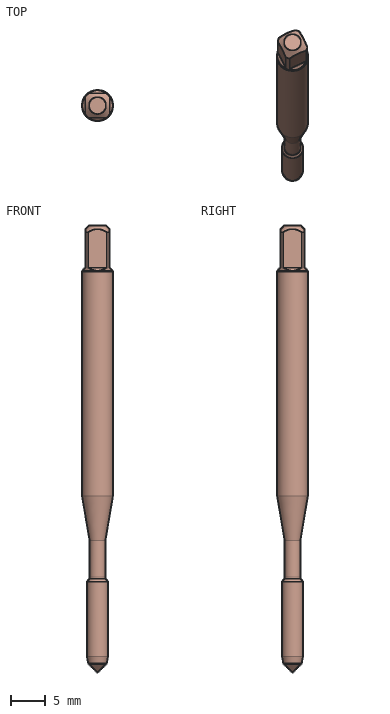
import cadquery as cq

length = 64.0

shank_dia = 4.5
drive_corner_dia = 4.35
square_width = 3.45
drive_end_dia = 2.4
shank_top_z = 57.3
shoulder_height = 0.2
flat_bottom_z = 57.95

neck_dia = 2.3
taper_top_z = 25.35
taper_bottom_z = 18.95
neck_bottom_z = 13.75

core_dia = 2.4
sleeve_dia = 3.1
point_dia = 2.7
core_top_z = 13.45
sleeve_top_edge_z = 13.0
sleeve_bottom_edge_z = 2.35

core_radius = core_dia / 2
point_radius = point_dia / 2
drive_radius = drive_corner_dia / 2
end_chamfer = (drive_corner_dia - drive_end_dia) / 2


def revolve_profile(points):
    """Revolve a closed (radius, z) outline about the Z axis."""
    return cq.Workplane("XZ").polyline(points).close().revolve(360, (0, 0, 0), (0, 1, 0))


def make_flat_cutter():
    """Material outside the +X flat, with a 45 degree run-out at its foot."""
    half_width = square_width / 2
    reach = shank_dia
    outline = [
        (half_width, flat_bottom_z),
        (half_width, length),
        (reach, length),
        (reach, flat_bottom_z - (reach - half_width)),
    ]
    return cq.Workplane("XZ").polyline(outline).close().extrude(reach, both=True)


def make_tap_body():
    """Shank with a square drive, tapering to the neck and the pointed core."""
    body = revolve_profile([
        (0, 0),
        (core_radius, core_radius),
        (core_radius, core_top_z),
        (neck_dia / 2, neck_bottom_z),
        (neck_dia / 2, taper_bottom_z),
        (shank_dia / 2, taper_top_z),
        (shank_dia / 2, shank_top_z),
        (drive_radius, shank_top_z + shoulder_height),
        (drive_radius, length - end_chamfer),
        (drive_end_dia / 2, length),
        (0, length),
    ])
    cutter = make_flat_cutter()
    for angle in (0, 90, 180, 270):
        body = body.cut(cutter.rotate((0, 0, 0), (0, 0, 1), angle))
    return body


def make_cutting_sleeve():
    """Sleeve around the core, tapered to the core above and joining the point below."""
    return revolve_profile([
        (core_radius, core_radius),
        (point_radius, point_radius),
        (sleeve_dia / 2, sleeve_bottom_edge_z),
        (sleeve_dia / 2, sleeve_top_edge_z),
        (core_radius, core_top_z),
    ])


tap_body = make_tap_body()
cutting_sleeve = make_cutting_sleeve()

result = cq.Compound.makeCompound([tap_body.val(), cutting_sleeve.val()])